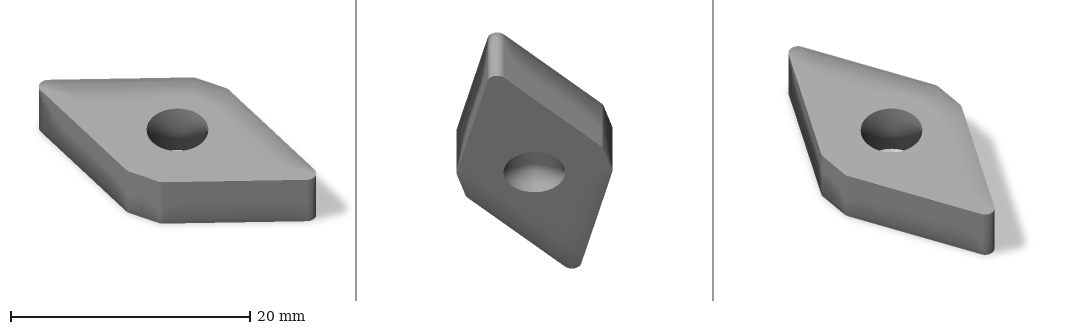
import cadquery as cq
import math

inscribed_diameter = 12.7
thickness = 4.76
acute_angle = 55.0
corner_radius = 0.794
hole_diameter = 5.16

inscribed_radius = inscribed_diameter / 2
half_acute = math.radians(acute_angle / 2)
side_length = inscribed_diameter / math.sin(math.radians(acute_angle))
acute_corner_distance = inscribed_radius / math.sin(half_acute)
blunt_corner_distance = inscribed_radius / math.cos(half_acute)

flat_setback = (blunt_corner_distance - inscribed_radius) / math.sin(half_acute)


def polar_point(distance, angle):
    return (distance * math.cos(angle), distance * math.sin(angle))


def make_plate():
    """Rhombus with flattened blunt corners, two sides parallel to X, centred on the origin."""
    acute_corner = polar_point(acute_corner_distance, half_acute)
    side_flat_start = (acute_corner[0] - side_length + flat_setback, inscribed_radius)
    slanted_length = side_length - flat_setback
    slant_run, slant_rise = polar_point(slanted_length, 2 * half_acute)
    opposite_flat_start = (acute_corner[0] - slant_run, acute_corner[1] - slant_rise)

    half_outline = [opposite_flat_start, acute_corner, side_flat_start]
    mirrored_half = [(-x, -y) for x, y in half_outline]
    plate = cq.Workplane("XY").polyline(half_outline + mirrored_half).close().extrude(thickness)
    return plate.edges("|Z").fillet(corner_radius)


def cut_center_hole(plate):
    return plate.faces(">Z").workplane(origin=(0, 0, thickness)).hole(hole_diameter)


result = cut_center_hole(make_plate())